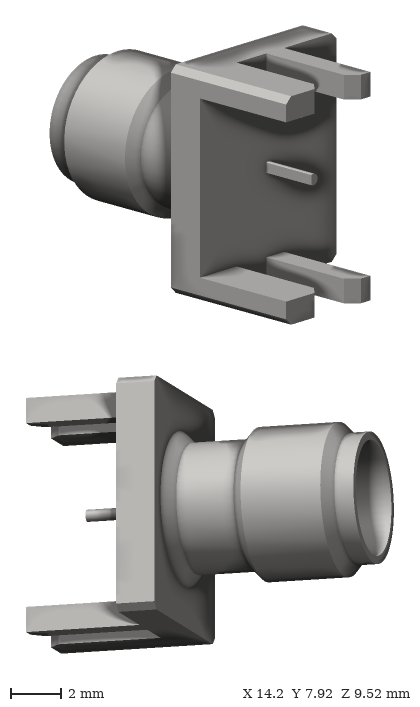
import cadquery as cq

total_length = 14.25
flange_width = 7.92
flange_height = 9.52

nose_end = 0.8
collar_start = 1.24
collar_end = 4.57
neck_start = 5.02
flare_start = 7.41
flange_front = 7.91
flange_back = 9.5
pin_end = 11.98

barrel_radius = 2.65
collar_radius = 3.1
flare_radius = barrel_radius + flange_front - flare_start
bore_radius = 2.32
bore_depth = 1.88

corner_chamfer = 0.28
leg_thickness = 1.03
narrow_leg_top = 0.91
board_face = -0.11
board_gap = 1.72
tip_chamfer = 0.48

pin_radius = 0.24


def make_barrel():
    """Stepped round barrel, revolved about the X axis and bored from its open end."""
    barrel = (
        cq.Workplane("XY")
        .moveTo(0, 0)
        .lineTo(0, barrel_radius)
        .lineTo(nose_end, barrel_radius)
        .lineTo(collar_start, collar_radius)
        .lineTo(collar_end, collar_radius)
        .lineTo(neck_start, barrel_radius)
        .lineTo(flare_start, barrel_radius)
        .lineTo(flange_front, flare_radius)
        .lineTo(flange_front, 0)
        .close()
        .revolve(360, (0, 0, 0), (1, 0, 0))
    )
    bore = cq.Workplane("YZ").circle(bore_radius).extrude(bore_depth)
    return barrel.cut(bore)


def make_flange_and_legs():
    """Flange with two pairs of legs; each pair grips the board across the gap."""
    bottom = -flange_width / 2
    gap_bottom = board_face - board_gap
    body = (
        cq.Workplane("XY")
        .workplane(offset=-flange_height / 2)
        .moveTo(flange_front, bottom)
        .lineTo(total_length, bottom)
        .lineTo(total_length, gap_bottom - tip_chamfer)
        .lineTo(total_length - tip_chamfer, gap_bottom)
        .lineTo(flange_back, gap_bottom)
        .lineTo(flange_back, board_face)
        .lineTo(total_length - tip_chamfer, board_face)
        .lineTo(total_length, board_face + tip_chamfer)
        .lineTo(total_length, narrow_leg_top)
        .lineTo(flange_back, narrow_leg_top)
        .lineTo(flange_back, flange_width / 2)
        .lineTo(flange_front, flange_width / 2)
        .close()
        .extrude(flange_height)
    )
    bevelled_block = (
        cq.Workplane("YZ")
        .workplane(offset=flange_front)
        .rect(flange_width, flange_height)
        .extrude(total_length - flange_front)
        .edges("|X")
        .chamfer(corner_chamfer)
    )
    space_between_legs = (
        cq.Workplane("YZ")
        .workplane(offset=flange_back)
        .rect(flange_width, flange_height - 2 * leg_thickness)
        .extrude(total_length - flange_back)
    )
    return body.intersect(bevelled_block).cut(space_between_legs)


def make_pin():
    """Round contact pin with a flat level with the board face of the narrow legs."""
    length = pin_end - flange_back
    pin = cq.Workplane("YZ").workplane(offset=flange_back).circle(pin_radius).extrude(length)
    below_flat = (
        cq.Workplane("XY")
        .box(length, pin_radius, 2 * pin_radius, centered=(False, False, True))
        .translate((flange_back, board_face - pin_radius, 0))
    )
    return pin.cut(below_flat)


result = make_barrel().union(make_flange_and_legs()).union(make_pin())